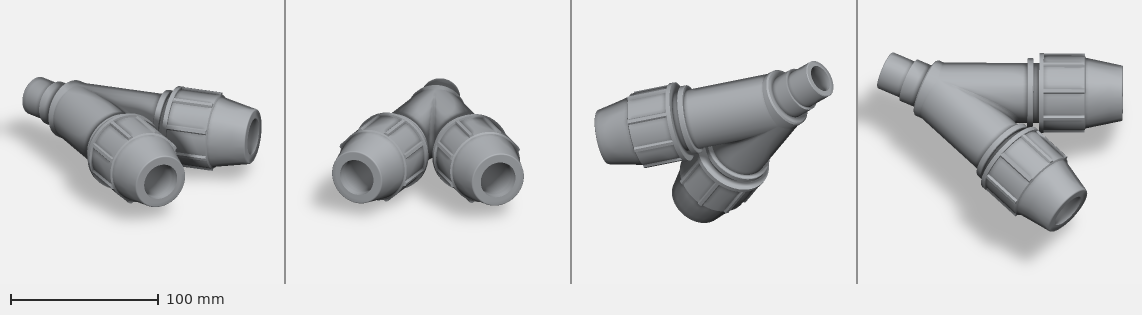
import cadquery as cq
import math

ARM_ANGLES = (0, 45)
INLET_ANGLE = 180 + 20

BODY_RADIUS = 40.5 / 2
COLLAR_RADIUS = 46.98 / 2
COLLAR_START = 60.5
COLLAR_END = 64.5
COLLAR_CHAMFER = 0.35
FLANGE_RADIUS = 54 / 2
FLANGE_START = 68.5
FLANGE_END = 71.5
BARREL_RADIUS = 25.2
BARREL_END = 100
BARREL_CHAMFER = 0.8
CONE_START_RADIUS = 23.9
CONE_END_RADIUS = 18.65
ARM_LENGTH = 125
NOSE_ROUNDING = 1

RIB_COUNT = 8
RIB_CREST_WIDTH = 2.2
RIB_BASE_WIDTH = 3.9
RIB_CREST_RADIUS = 26.7
RIB_BASE_RADIUS = math.sqrt(BARREL_RADIUS**2 - (RIB_BASE_WIDTH / 2) ** 2)
RIB_END = BARREL_END - BARREL_CHAMFER

INLET_LENGTH = 39.45
SPIGOT_RADIUS = 26.44 / 2
SPIGOT_CHAMFER = 0.5
STEP_RADIUS = 30.41 / 2
STEP_END = 21.6
SHOULDER_END = 9.1
SHOULDER_CHAMFER = 1

INLET_BORE_RADIUS = 18.51 / 2
INLET_BORE_DEPTH = 36
INLET_BORE_FLOOR_CHAMFER = 1.2
INLET_PASSAGE_RADIUS = 5.7
ARM_PASSAGE_RADIUS = 4
SOCKET_RADIUS = 25 / 2
SOCKET_DEPTH = ARM_LENGTH - COLLAR_START

CROTCH_FILLET = 2.3


def rod(radius, start, end):
    """Cylinder along +X between two stations."""
    return cq.Workplane("YZ").workplane(offset=start).circle(radius).extrude(end - start)


def turn(leg, angle):
    """Swing a leg lying along +X about the Z axis."""
    return leg.rotate((0, 0, 0), (0, 0, 1), angle)


def nut_ribs():
    """Eight straight ribs standing on the nut barrel, none on the Y or Z axis."""
    pitch = 360 / RIB_COUNT
    rib = (
        cq.Workplane("YZ")
        .workplane(offset=FLANGE_START)
        .polyline(
            [
                (-RIB_CREST_WIDTH / 2, RIB_CREST_RADIUS),
                (RIB_CREST_WIDTH / 2, RIB_CREST_RADIUS),
                (RIB_BASE_WIDTH / 2, RIB_BASE_RADIUS),
                (0, 0),
                (-RIB_BASE_WIDTH / 2, RIB_BASE_RADIUS),
            ]
        )
        .close()
        .extrude(RIB_END - FLANGE_START)
    )
    ribs = cq.Workplane("XY")
    for i in range(RIB_COUNT):
        ribs = ribs.add(rib.rotate((0, 0, 0), (1, 0, 0), pitch * (i + 0.5)))
    return ribs.combine()


def arm_nut():
    """Flange, collar, ribbed barrel and tapered nose at the end of an arm."""
    nose = (
        cq.Workplane("XY")
        .moveTo(FLANGE_START, 0)
        .lineTo(FLANGE_START, BARREL_RADIUS)
        .lineTo(BARREL_END - BARREL_CHAMFER, BARREL_RADIUS)
        .lineTo(BARREL_END, CONE_START_RADIUS)
        .lineTo(ARM_LENGTH, CONE_END_RADIUS)
        .lineTo(ARM_LENGTH, 0)
        .close()
        .revolve(360, (0, 0, 0), (1, 0, 0))
        .faces(">X")
        .edges()
        .fillet(NOSE_ROUNDING)
    )
    collar = rod(COLLAR_RADIUS, COLLAR_START, COLLAR_END).edges("%CIRCLE").chamfer(COLLAR_CHAMFER)
    return (
        nose.union(rod(FLANGE_RADIUS, FLANGE_START, FLANGE_END))
        .union(collar)
        .union(nut_ribs())
    )


def arm_bodies():
    """The two plain arms, with the crotch between them filleted."""
    body = rod(BODY_RADIUS, 0, FLANGE_START)
    first = turn(body.rotate((0, 0, 0), (1, 0, 0), 180), ARM_ANGLES[0])
    bodies = first.union(turn(body, ARM_ANGLES[1]))
    half_angle = math.radians(sum(ARM_ANGLES) / 2)
    crotch_distance = BODY_RADIUS / math.sin(half_angle)
    crotch = (crotch_distance * math.cos(half_angle), crotch_distance * math.sin(half_angle), 0)
    return bodies.edges(cq.selectors.NearestToPointSelector(crotch)).fillet(CROTCH_FILLET)


def inlet():
    """Shouldered inlet leg with its stepped spigot."""
    shoulder = rod(BODY_RADIUS, 0, SHOULDER_END).faces(">X").edges().chamfer(SHOULDER_CHAMFER)
    spigot = rod(SPIGOT_RADIUS, 0, INLET_LENGTH).faces(">X").edges().chamfer(SPIGOT_CHAMFER)
    return shoulder.union(rod(STEP_RADIUS, 0, STEP_END)).union(spigot)


def passages():
    """Inlet bore, arm sockets and the narrower waterway that joins them."""
    bore = rod(INLET_BORE_RADIUS, INLET_LENGTH - INLET_BORE_DEPTH, INLET_LENGTH)
    bore = bore.faces("<X").edges().chamfer(INLET_BORE_FLOOR_CHAMFER)
    cutter = turn(rod(INLET_PASSAGE_RADIUS, 0, INLET_LENGTH).union(bore), INLET_ANGLE)
    socket = rod(SOCKET_RADIUS, ARM_LENGTH - SOCKET_DEPTH, ARM_LENGTH)
    arm_cutter = rod(ARM_PASSAGE_RADIUS, 0, ARM_LENGTH).union(socket)
    for angle in ARM_ANGLES:
        cutter = cutter.union(turn(arm_cutter, angle))
    return cutter


result = arm_bodies().union(turn(inlet(), INLET_ANGLE))
for angle in ARM_ANGLES:
    result = result.union(turn(arm_nut(), angle))
result = result.cut(passages())